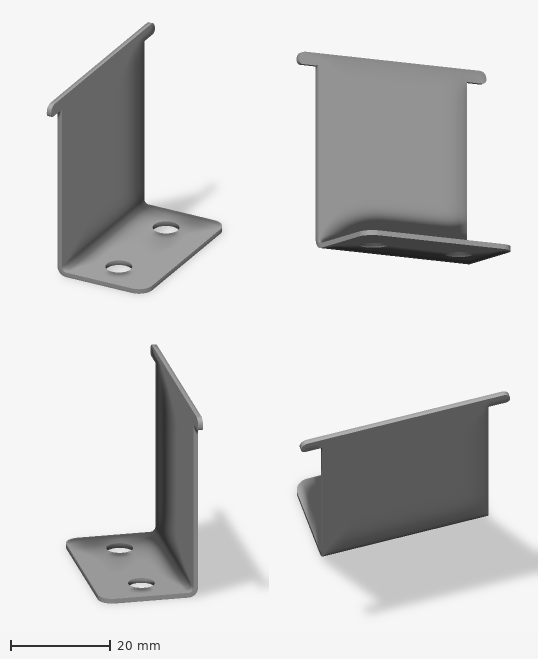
import cadquery as cq

depth = 20.0
head_width = 44.0
height = 40.0

thickness = 1.0
bend_inner_radius = 1.0
bend_outer_radius = bend_inner_radius + thickness

body_width = 35.0
head_height = 2.6
head_top_radius = 1.5
head_bottom_radius = 0.9

foot_corner_radius = 3.0
hole_diameter = 5.4
hole_spacing = 20.0
hole_x = depth / 2


def make_angle():
    """L-shaped sheet with a rounded bend along Y."""
    angle = (
        cq.Workplane("XZ")
        .polyline([
            (0, 0),
            (depth, 0),
            (depth, thickness),
            (thickness, thickness),
            (thickness, height),
            (0, height),
        ])
        .close()
        .extrude(body_width / 2, both=True)
    )
    inner_edge = cq.selectors.NearestToPointSelector((thickness, 0, thickness))
    outer_edge = cq.selectors.NearestToPointSelector((0, 0, 0))
    angle = angle.edges("|Y").edges(inner_edge).fillet(bend_inner_radius)
    angle = angle.edges("|Y").edges(outer_edge).fillet(bend_outer_radius)
    return angle.edges("|Z and >X").fillet(foot_corner_radius)


def make_head():
    """Wide bar along the top of the wall, with rounded ends."""
    head = cq.Workplane("XY").box(thickness, head_width, head_height, centered=(False, True, False))
    head = head.edges("|X and >Z").fillet(head_top_radius)
    head = head.edges("|X and <Z").fillet(head_bottom_radius)
    return head.translate((0, 0, height - head_height))


def make_holes():
    """Cutters for the two mounting holes in the foot."""
    return (
        cq.Workplane("XY")
        .pushPoints([(hole_x, side * hole_spacing / 2) for side in (-1, 1)])
        .circle(hole_diameter / 2)
        .extrude(thickness)
    )


result = make_angle().union(make_head()).cut(make_holes())